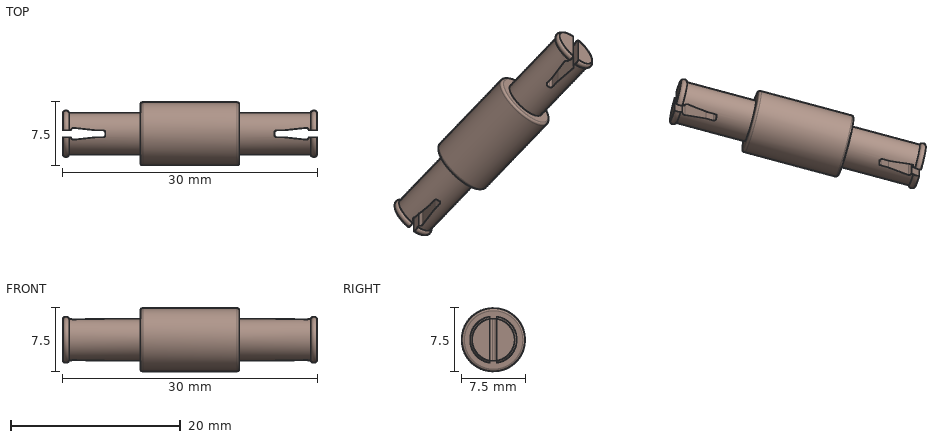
import cadquery as cq

total_length = 30.0
shaft_diameter = 5.0

barrel_diameter = 7.5
barrel_length = 11.7
barrel_edge_radius = 0.3

rim_diameter = 5.52
rim_width = 0.75

mouth_width = 0.8
mouth_length = 0.95
shoulder_length = 0.12
slot_widest = 1.4
slot_end_width = 0.8
slot_depth = 5.0
slot_end_length = 1.2
slot_end_radius = 0.27
slot_corner_radius = 0.3

half_length = total_length / 2
shaft_radius = shaft_diameter / 2


def cylinder_along_x(start, length, diameter):
    return cq.Workplane("YZ", origin=(start, 0, 0)).circle(diameter / 2).extrude(length)


def end_rim():
    """Convex rim at the -X end, revolved about the shaft axis."""
    rim_back = -half_length + rim_width
    rim_middle = -half_length + rim_width / 2
    return (
        cq.Workplane("XY")
        .moveTo(-half_length, 0)
        .lineTo(-half_length, shaft_radius)
        .threePointArc((rim_middle, rim_diameter / 2), (rim_back, shaft_radius))
        .lineTo(rim_back, 0)
        .close()
        .revolve(360, (0, 0), (1, 0))
    )


def end_slot():
    """Slot through the full thickness at the -X end, widest just behind the rim."""
    open_end = -half_length
    mouth_end = open_end + mouth_length
    widest_at = mouth_end + shoulder_length
    closed_end = open_end + slot_depth
    taper_end = closed_end - slot_end_length
    slot = (
        cq.Workplane("XY")
        .moveTo(open_end, -mouth_width / 2)
        .lineTo(mouth_end, -mouth_width / 2)
        .lineTo(widest_at, -slot_widest / 2)
        .lineTo(taper_end, -slot_end_width / 2)
        .lineTo(closed_end, -slot_end_width / 2)
        .lineTo(closed_end, slot_end_width / 2)
        .lineTo(taper_end, slot_end_width / 2)
        .lineTo(widest_at, slot_widest / 2)
        .lineTo(mouth_end, mouth_width / 2)
        .lineTo(open_end, mouth_width / 2)
        .close()
        .extrude(rim_diameter, both=True)
    )
    slot = slot.edges("|Z and (>Y or <Y)").fillet(slot_corner_radius)
    return slot.faces(">X").edges("|Z").fillet(slot_end_radius)


shaft = cylinder_along_x(-half_length, total_length, shaft_diameter)
barrel = cylinder_along_x(-barrel_length / 2, barrel_length, barrel_diameter)
barrel = barrel.edges("%CIRCLE").fillet(barrel_edge_radius)
rim = end_rim()
slot = end_slot()

result = shaft.union(barrel).union(rim).union(rim.mirror("YZ"))
result = result.cut(slot).cut(slot.mirror("YZ"))